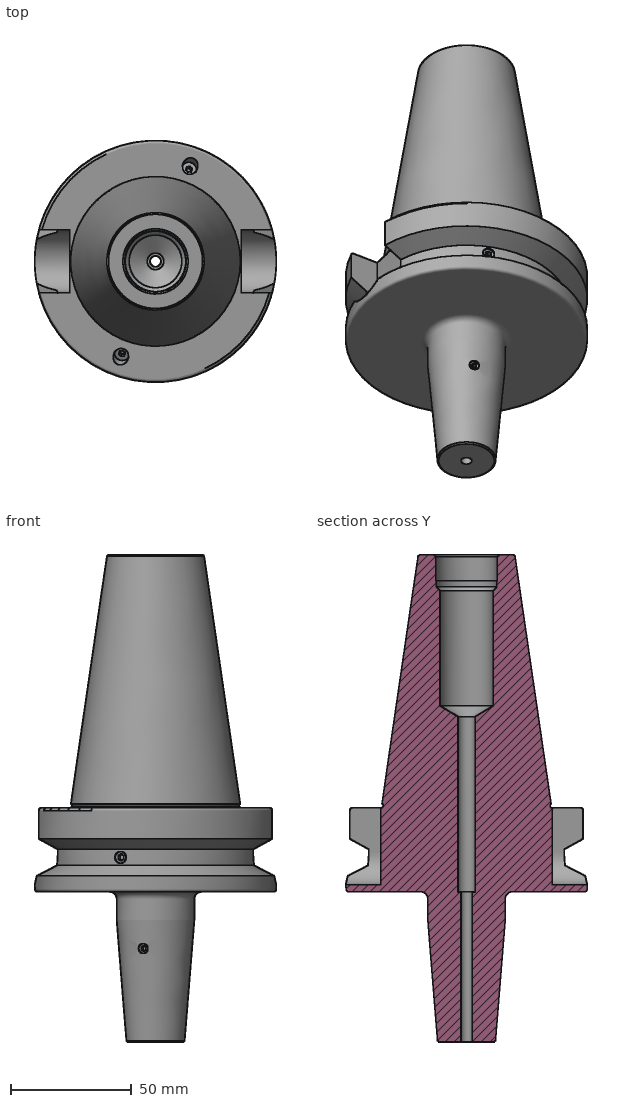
import cadquery as cq
import math


overall_length = 201.8

gauge_radius = 35.0
taper_length = 101.7
taper_slope = 7 / 48
taper_top_radius = gauge_radius - taper_length * taper_slope
taper_top_chamfer = 0.6
taper_end_z = -1.5
relief_depth = 0.5

flange_radius = 50.0
flange_top_z = -3.0
flange_bottom_z = -38.0
flange_round = 1.2
groove_floor_radius = 42.5
groove_floor_width = 6.7
groove_middle_z = -23.6
groove_flank_angle = math.radians(30)
groove_flank_height = (flange_radius - groove_floor_radius) * math.tan(groove_flank_angle)
groove_floor_top_z = groove_middle_z + groove_floor_width / 2
groove_floor_bottom_z = groove_middle_z - groove_floor_width / 2

nose_bottom_z = taper_length - overall_length
nose_radius = 16.1
nose_fillet = 2.8
nose_cone_z = flange_bottom_z - 11.5
nose_tip_radius = 12.1
nose_tip_chamfer = 0.6

slot_width = 26.0
slot_depth = 31.9
slot_floor_x = 35.5

bore_radius = 12.7
bore_mouth_chamfer = 0.8
bore_ledge_depth = 10.9
bore_ledge_width = 0.2
bore_seat_radius = bore_radius - bore_ledge_width
bore_seat_depth = 13.3
drawbar_radius = 10.9
drawbar_depth = 62.5
drill_point_angle = math.radians(118)
channel_radius = 3.5
channel_end_z = flange_bottom_z
channel_narrow_radius = 2.2

seat_directions = (70, 250)
socket_depth = 2.5
large_socket_size = 2.5
small_socket_size = 2.0
oblique_seat_radius = 42.0
oblique_seat_tilt = 25
oblique_seat_diameter = 6.3
oblique_seat_depth = 3.2
groove_seat_diameter = 4.8
groove_seat_depth = 0.6
nose_seat_diameter = 4.0
nose_seat_depth = 0.6
nose_seat_z = flange_bottom_z - 23.5


def turned_body():
    taper_end_radius = gauge_radius - taper_end_z * taper_slope
    relief_radius = taper_end_radius - relief_depth
    return (
        cq.Workplane("XZ")
        .moveTo(0, taper_length)
        .lineTo(taper_top_radius - taper_top_chamfer, taper_length)
        .lineTo(taper_top_radius + taper_top_chamfer * taper_slope, taper_length - taper_top_chamfer)
        .lineTo(taper_end_radius, taper_end_z)
        .lineTo(relief_radius, taper_end_z - relief_depth)
        .lineTo(relief_radius, flange_top_z + relief_depth)
        .lineTo(taper_end_radius, flange_top_z)
        .lineTo(flange_radius - flange_round, flange_top_z)
        .radiusArc((flange_radius, flange_top_z - flange_round), flange_round)
        .lineTo(flange_radius, groove_floor_top_z + groove_flank_height)
        .lineTo(groove_floor_radius, groove_floor_top_z)
        .lineTo(groove_floor_radius, groove_floor_bottom_z)
        .lineTo(flange_radius, groove_floor_bottom_z - groove_flank_height)
        .lineTo(flange_radius, flange_bottom_z + flange_round)
        .radiusArc((flange_radius - flange_round, flange_bottom_z), flange_round)
        .lineTo(nose_radius + nose_fillet, flange_bottom_z)
        .radiusArc((nose_radius, flange_bottom_z - nose_fillet), -nose_fillet)
        .lineTo(nose_radius, nose_cone_z)
        .lineTo(nose_tip_radius, nose_bottom_z + nose_tip_chamfer)
        .lineTo(nose_tip_radius - nose_tip_chamfer, nose_bottom_z)
        .lineTo(0, nose_bottom_z)
        .close()
        .revolve(360, (0, 0, 0), (0, 1, 0))
    )


def axial_bore():
    seat_end_z = taper_length - bore_seat_depth
    drawbar_end_z = taper_length - drawbar_depth
    drill_point_height = (drawbar_radius - channel_radius) / math.tan(drill_point_angle / 2)
    return (
        cq.Workplane("XZ")
        .moveTo(0, taper_length)
        .lineTo(bore_radius + bore_mouth_chamfer, taper_length)
        .lineTo(bore_radius, taper_length - bore_mouth_chamfer)
        .lineTo(bore_radius, taper_length - bore_ledge_depth)
        .lineTo(bore_seat_radius, taper_length - bore_ledge_depth)
        .lineTo(bore_seat_radius, seat_end_z)
        .lineTo(drawbar_radius, seat_end_z - (bore_seat_radius - drawbar_radius))
        .lineTo(drawbar_radius, drawbar_end_z)
        .lineTo(channel_radius, drawbar_end_z - drill_point_height)
        .lineTo(channel_radius, channel_end_z)
        .lineTo(channel_narrow_radius, channel_end_z)
        .lineTo(channel_narrow_radius, nose_bottom_z)
        .lineTo(0, nose_bottom_z)
        .close()
        .revolve(360, (0, 0, 0), (0, 1, 0))
    )


def drive_slot(side):
    arc_radius = slot_width / 2
    arc_z = flange_top_z - slot_depth + arc_radius
    return (
        cq.Workplane("YZ", origin=(side * slot_floor_x, 0, 0))
        .moveTo(-arc_radius, flange_top_z)
        .lineTo(-arc_radius, arc_z)
        .threePointArc((0, flange_top_z - slot_depth), (arc_radius, arc_z))
        .lineTo(arc_radius, flange_top_z)
        .close()
        .extrude(side * flange_radius)
    )


def screw_seat(x, z, tilt, diameter, depth, socket_size):
    """Round seat with a socket, drilled toward the axis from (x, 0, z), `tilt` degrees off straight down."""
    angle = math.radians(tilt)
    outward = cq.Vector(math.sin(angle), 0, math.cos(angle))
    floor = cq.Plane(
        origin=cq.Vector(x, 0, z) - outward * depth,
        xDir=(math.cos(angle), 0, -math.sin(angle)),
        normal=outward,
    )
    seat = cq.Workplane(floor).circle(diameter / 2).extrude(depth + diameter)
    corner_diameter = socket_size / math.cos(math.pi / 6)
    socket = cq.Workplane(floor).polygon(6, corner_diameter).extrude(-socket_depth)
    return seat.union(socket)


def screw_seats():
    """Seats in the flange face, the groove floor and the nose, all on the +X side."""
    nose_cone_slope = (nose_radius - nose_tip_radius) / (nose_cone_z - nose_bottom_z - nose_tip_chamfer)
    nose_seat_radius = nose_radius - (nose_cone_z - nose_seat_z) * nose_cone_slope
    oblique_seat = screw_seat(
        oblique_seat_radius,
        flange_top_z,
        oblique_seat_tilt,
        oblique_seat_diameter,
        oblique_seat_depth,
        large_socket_size,
    )
    groove_seat = screw_seat(
        groove_floor_radius, groove_middle_z, 90, groove_seat_diameter, groove_seat_depth, large_socket_size
    )
    nose_seat = screw_seat(
        nose_seat_radius, nose_seat_z, 90, nose_seat_diameter, nose_seat_depth, small_socket_size
    )
    return oblique_seat.union(groove_seat).union(nose_seat)


result = turned_body().cut(axial_bore())
for side in (1, -1):
    result = result.cut(drive_slot(side))
for direction in seat_directions:
    result = result.cut(screw_seats().rotate((0, 0, 0), (0, 0, 1), direction))